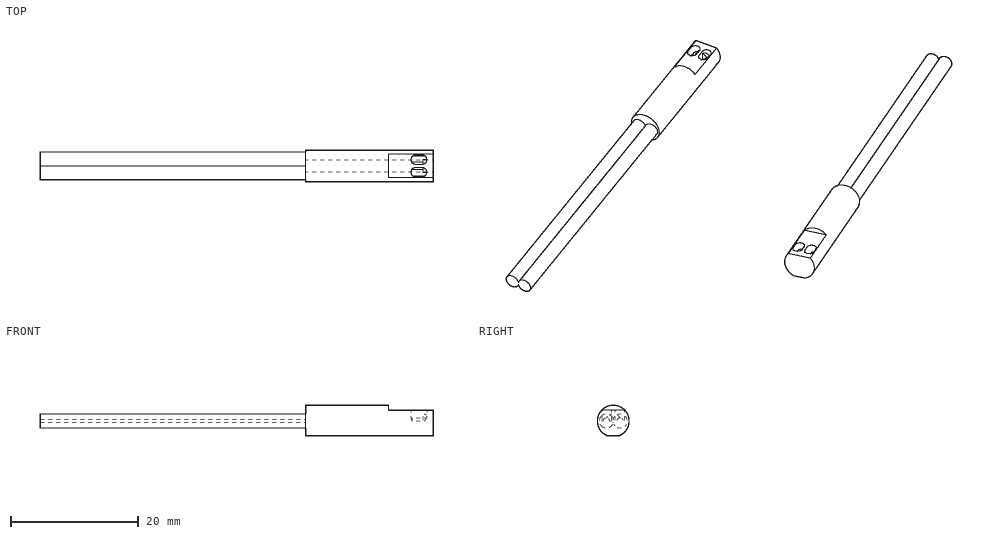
import cadquery as cq

total_length = 61.5
head_length = 20.0
head_diameter = 5.0
head_height = 4.8

step_length = 7.0
step_depth = 0.8

cable_diameter = 2.2
cable_spacing = 2.15

slot_length = 2.45
slot_width = 1.5
slot_spacing = 1.95
slot_end_gap = 1.05

wire_diameter = 1.0
core_diameter = 2.3
core_length = 1.65
jacket_gap = 0.6

head_radius = head_diameter / 2
head_start = total_length - head_length
step_floor = head_radius - step_depth
slot_centre_x = total_length - slot_end_gap - slot_length / 2
slot_start = slot_centre_x - slot_length / 2
core_start = total_length - core_length


def make_head():
    """Round head with a flat underside and a step cut into its tip."""
    head = cq.Workplane("YZ", origin=(head_start, 0, 0)).circle(head_radius).extrude(head_length)
    underside = cq.Workplane("XY").box(
        head_length, head_diameter, head_height, centered=(False, True, False)
    ).translate((head_start, 0, head_radius - head_height))
    step = cq.Workplane("XY").box(
        step_length, head_diameter, step_depth, centered=(False, True, False)
    ).translate((total_length - step_length, 0, step_floor))
    return head.intersect(underside).cut(step)


def make_slots():
    """Two rounded slots reaching from the step floor down to the cable axes."""
    return (
        cq.Workplane("XY", origin=(slot_centre_x, 0, 0))
        .pushPoints([(0, -slot_spacing / 2), (0, slot_spacing / 2)])
        .slot2D(slot_length, slot_width)
        .extrude(step_floor)
    )


def make_strands(diameter, length):
    """Two parallel round strands on the cable axes, running along X from the free end."""
    strands = cq.Workplane("YZ")
    for side in (-1, 1):
        strand = cq.Workplane("YZ").center(side * cable_spacing / 2, 0)
        strands = strands.union(strand.circle(diameter / 2).extrude(length))
    return strands


def make_core():
    """Round core on the head axis, crossing the far ends of the slots."""
    return cq.Workplane("YZ", origin=(core_start, 0, 0)).circle(core_diameter / 2).extrude(core_length)


cables = make_strands(cable_diameter, slot_start - jacket_gap)
wires = make_strands(wire_diameter, total_length)

result = make_head().cut(make_slots()).union(cables).union(wires).union(make_core()).clean()